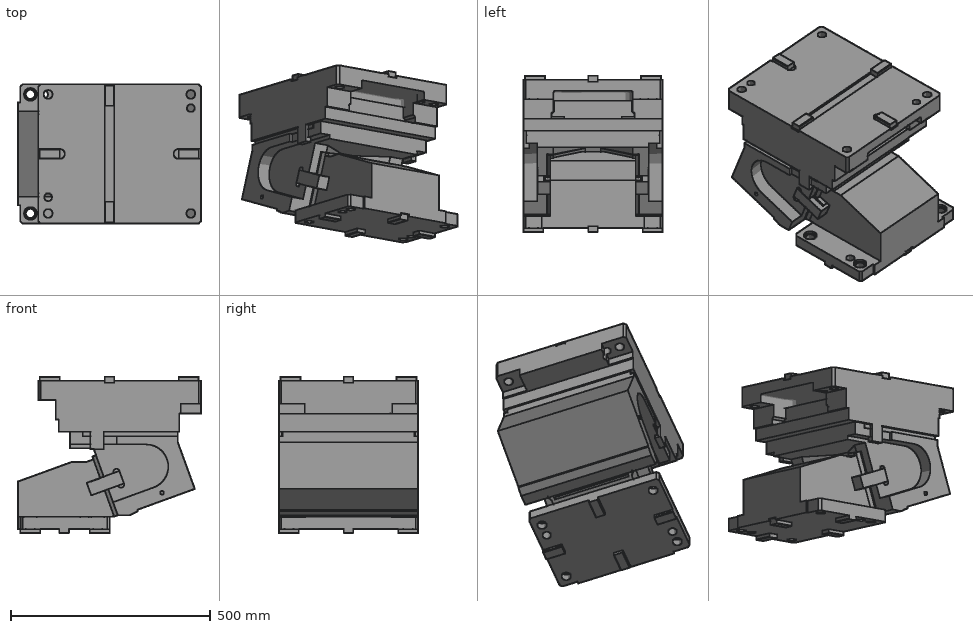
import cadquery as cq
import math


total_length = 460.0
total_height = 393.0
total_width = 350.0
half_width = total_width / 2
corner_chamfer = 6.0

key_height = 9.5
key_sink = 5.5
key_width = 25.0
key_length = 50.5
key_chamfer = 1.5
bolt_y = 149.5

tilt = math.radians(20)
joint_x = 196.0
joint_z = 195.5
joint_bottom = -160.5

base_foot_z = key_height
base_length = 231.0
flange_left = 5.5
flange_top = 40.5
flange_tongue_half = 129.3
hump_half = 107.5
hump_front_z = 129.5
hump_flat_z = 179.0
hump_top = -7.5
base_rib_x = 116.0
base_bolt_offset = 84.5
base_dowel_offset = 51.5
base_dowel_radius = 10.5
base_bolt_radius = 11.5
base_counterbore_radius = 16.0
base_counterbore_depth = 6.5
strip_thickness = 9.5
strip_half = 113.0
nose_bottom = -138.0
nose_length = 37.5
nose_tip_half = 30.5

bar_half = 139.5
bar_left = -45.5
bar_right = 42.0
bar_bottom = -90.5
bar_top = -57.0
slit_start = -36.0
slit_inner = 120.0
slit_outer = 123.7
slit_depth = 9.0
ledge_drop = 1.0

bracket_top = 254.5
bracket_left = 130.5
bracket_right = 402.0
cheek_half = 140.0
rail_half = 167.5
rail_bottom = 222.5
neck_bottom = 213.0
shoulder_z = 243.5
shoulder_x = 248.0
relief_x = 163.0
relief_depth = 2.0
bracket_knee_z = 227.5
bracket_corner_z = 111.0
bracket_step_x = 301.0
bracket_step = 4.0
bracket_heel_x = 280.5
bracket_base_z = 44.5
pocket_arc_x = 322.0
pocket_arc_radius = 55.5
bar_relief_radius = 8.0
bar_relief_x = 34.0
socket_mouth_half = 99.5
socket_end_half = 20.0
socket_length = 45.5
lead_in_half = 116.0
lead_in_depth = 3.5
pin_hole_x = 362.0
pin_hole_z = 101.0
pin_hole_radius = 4.5
pin_hole_depth = 9.0

head_top = total_height - key_height
head_left = 51.0
head_plate_bottom = 334.0
head_upper_left = 94.8
head_step_z = 284.7
head_lower_left = 102.0
head_right = 405.3
overhang_start = 409.0
overhang_plate_bottom = 324.8
overhang_bottom = 300.0
overhang_half = 110.5
clamp_left = 181.5
clamp_right = 215.7
clamp_bottom = 211.0
clamp_lip_half = 160.0
cross_key_x = 230.0
cross_key_half = 171.0
left_key_inset = 3.5
right_key_inset = 6.0
head_bolt_left = 76.0
head_bolt_right = 434.2
head_bolt_radius = 11.0
head_dowel_radius = 9.5
head_dowel_left_y = -109.0
head_dowel_right_y = 115.0
recess_top = 355.0
recess_half = 99.5
recess_chamfer_z = 303.5
recess_wide_half = 105.5
recess_wide_z = 297.5
recess_back = 152.0
recess_corner_radius = 20.5
recess_ceiling_radius = 5.5
block_front = 133.5
block_top = 330.5
block_gap = 2.0
block_foot_half = 72.0
block_foot_z = 290.0


def box(x, y, z):
    """Axis-aligned box from (low, high) pairs."""
    size = (x[1] - x[0], y[1] - y[0], z[1] - z[0])
    return cq.Workplane("XY").box(*size, centered=False).translate((x[0], y[0], z[0]))


def wide_box(x, half, z):
    """Box symmetric about Y = 0."""
    return box(x, (-half, half), z)


def both_sides(shape):
    """The shape together with its mirror image about Y = 0."""
    return shape.union(shape.mirror("XZ"))


def side_boxes(x, inner, outer, z):
    """Two mirrored boxes that lie between the half widths inner and outer."""
    return both_sides(box(x, (-outer, -inner), z))


def upright_plane(y=0.0):
    return cq.Workplane("XZ", origin=(0, y, 0))


def joint_plane(y=0.0):
    """Plane facing -Y: its x runs along the tilted axis, its y along the joint face."""
    direction = (math.cos(tilt), 0, math.sin(tilt))
    return cq.Workplane(cq.Plane(origin=(joint_x, y, joint_z), xDir=direction, normal=(0, -1, 0)))


def joint_top_plane():
    """Plane through the joint origin that is square to the joint face: x along the axis, y along Y."""
    direction = (math.cos(tilt), 0, math.sin(tilt))
    normal = (-math.sin(tilt), 0, math.cos(tilt))
    return cq.Workplane(cq.Plane(origin=(joint_x, 0, joint_z), xDir=direction, normal=normal))


def joint_point(u, v):
    """X and Z of a point given along and across the tilted axis."""
    x = joint_x + u * math.cos(tilt) - v * math.sin(tilt)
    z = joint_z + u * math.sin(tilt) + v * math.cos(tilt)
    return x, z


def joint_x_at(z):
    """X of the joint face at height z."""
    return joint_x + (joint_z - z) * math.tan(tilt)


def joint_prism(outline, bottom, top):
    """Prism square to the joint: outline of (along the axis, Y) points, from bottom to top across it."""
    return joint_top_plane().workplane(offset=bottom).polyline(outline).close().extrude(top - bottom)


def joint_wedge(root, tip, bottom, top):
    """Symmetric prism that tapers from its root to its tip, each an (along the axis, half width) pair."""
    outline = [(root[0], -root[1]), (tip[0], -tip[1]), tip, root]
    return joint_prism(outline, bottom, top)


def key_along_x(start, z, outer_side):
    """Lengthwise key, chamfered along the long edges of its outer side (">Z" or "<Z")."""
    key = wide_box((start, start + key_length), key_width / 2, z)
    return key.faces(outer_side).edges("|X").chamfer(key_chamfer)


def keys_along_y(x, outer_half, z, outer_side):
    """Two mirrored crosswise keys that end at outer_half, chamfered like the lengthwise ones."""
    key = box((x - key_width / 2, x + key_width / 2), (-outer_half, key_length - outer_half), z)
    return both_sides(key.faces(outer_side).edges("|Y").chamfer(key_chamfer))


def cylinder(x, y, radius, bottom, top):
    return cq.Workplane("XY", origin=(x, y, bottom)).circle(radius).extrude(top - bottom)




def base_hump():
    flat_end_u = (hump_flat_z - joint_z - hump_top * math.cos(tilt)) / math.sin(tilt)
    slope_run = (hump_flat_z - hump_front_z) / math.tan(tilt)
    outline = [
        (0, base_foot_z),
        (0, hump_front_z),
        (slope_run, hump_flat_z),
        joint_point(flat_end_u, hump_top),
        joint_point(-strip_thickness, hump_top),
        joint_point(-strip_thickness, joint_bottom),
        (base_length, flange_top),
        (base_length - corner_chamfer, base_foot_z),
    ]
    return upright_plane().polyline(outline).close().extrude(hump_half, both=True)


def base_flange():
    flange = wide_box((flange_left, base_length), half_width, (base_foot_z, flange_top))
    flange = flange.edges("|Z").chamfer(corner_chamfer)
    return flange.union(wide_box((0, base_length / 2), flange_tongue_half, (base_foot_z, flange_top)))


def base_nose():
    """Tapered nose that enters the bracket, with a raised rim along both slanted sides."""
    root = (-strip_thickness, hump_half)
    tip = (nose_length, nose_tip_half)
    nose = joint_wedge(root, tip, nose_bottom, hump_top)
    rim_outline = [root, tip, (socket_length, socket_end_half), (0, socket_mouth_half), (0, hump_half)]
    rim = joint_prism(rim_outline, nose_bottom, 0)
    return nose.union(both_sides(rim))


def base_strips():
    """Tapered strips along both sides of the joint face."""
    outline = [
        (-strip_thickness, hump_half),
        (0, strip_half),
        (0, socket_mouth_half),
        (-strip_thickness, socket_mouth_half),
    ]
    return both_sides(joint_prism(outline, joint_bottom, 0))


def locking_bars():
    """Bars that bridge the joint, each with an L-shaped slit around a slightly lower ledge."""
    bar = joint_prism(
        [(bar_left, -bar_half), (bar_right, -bar_half), (bar_right, -hump_half), (bar_left, -hump_half)],
        bar_bottom,
        bar_top,
    )
    slit = joint_prism(
        [
            (slit_start, -slit_outer),
            (0, -slit_outer),
            (0, -hump_half),
            (-strip_thickness, -hump_half),
            (-strip_thickness, -slit_inner),
            (slit_start, -slit_inner),
        ],
        bar_top - slit_depth,
        bar_top,
    )
    drop = joint_prism(
        [(slit_start, -slit_inner), (0, -slit_inner), (0, -hump_half), (slit_start, -hump_half)],
        bar_top - ledge_drop,
        bar_top,
    )
    return both_sides(bar.cut(slit).cut(drop))


def base_key_parts():
    """Keys under the base, with the slot that holds the left key and opens at the left end."""
    keys = keys_along_y(base_rib_x, half_width, (0, base_foot_z), "<Z")
    for start in (flange_left, base_length - key_length):
        keys = keys.union(key_along_x(start, (0, base_foot_z + key_sink), "<Z"))
    slot_length = flange_left + key_length
    slot = wide_box((0, slot_length), key_width / 2, (base_foot_z, base_foot_z + key_sink))
    return keys, slot


def base_holes():
    holes = cq.Workplane("XY")
    counterbore_floor = flange_top - base_counterbore_depth
    for side in (-1, 1):
        for end in (-1, 1):
            place = (base_rib_x + end * base_bolt_offset, side * bolt_y)
            holes = holes.union(cylinder(*place, base_bolt_radius, 0, flange_top))
            holes = holes.union(cylinder(*place, base_counterbore_radius, counterbore_floor, flange_top))
        dowel_x = base_rib_x - side * base_dowel_offset
        holes = holes.union(cylinder(dowel_x, side * bolt_y, base_dowel_radius, 0, flange_top))
    return holes


def make_base():
    keys, slot = base_key_parts()
    base = base_hump().union(base_flange())
    base = base.union(base_strips()).union(locking_bars()).union(base_nose())
    return base.cut(slot).union(keys).cut(base_holes())




def bracket_blank():
    """Full-width tilted block below the neck, and the narrower neck above it."""
    corner_x = bracket_right + (bracket_knee_z - bracket_corner_z) * math.tan(tilt)
    step_z = bracket_corner_z - (corner_x - bracket_step_x) * math.tan(tilt)
    outline = [
        (joint_x_at(rail_bottom), rail_bottom),
        (shoulder_x, rail_bottom),
        (shoulder_x, shoulder_z),
        (bracket_right, shoulder_z),
        (bracket_right, bracket_knee_z),
        (corner_x, bracket_corner_z),
        (bracket_step_x, step_z),
        (bracket_step_x, step_z - bracket_step),
        (bracket_heel_x, bracket_base_z),
        (joint_x_at(bracket_base_z), bracket_base_z),
    ]
    block = upright_plane().polyline(outline).close().extrude(half_width, both=True)
    rail = wide_box((bracket_left, bracket_right), rail_half, (rail_bottom, bracket_top))
    neck = wide_box((bracket_left, shoulder_x), cheek_half, (neck_bottom, rail_bottom))
    relief = side_boxes(
        (relief_x, bracket_right), rail_half - relief_depth, rail_half, (shoulder_z, bracket_top)
    )
    return block.union(rail.cut(relief)).union(neck)


def bracket_side_pockets():
    """Round-ended pockets in both sides, open towards the joint."""
    arc_z = rail_bottom - pocket_arc_radius
    start_angle = math.radians(90)
    end_angle = tilt - math.radians(90)
    mid_angle = (start_angle + end_angle) / 2
    end_x = pocket_arc_x + pocket_arc_radius * math.cos(end_angle)
    end_z = arc_z + pocket_arc_radius * math.sin(end_angle)
    mid = (
        pocket_arc_x + pocket_arc_radius * math.cos(mid_angle),
        arc_z + pocket_arc_radius * math.sin(mid_angle),
    )
    open_x = bracket_left
    pocket = (
        upright_plane(-cheek_half)
        .moveTo(open_x, rail_bottom)
        .lineTo(pocket_arc_x, rail_bottom)
        .threePointArc(mid, (end_x, end_z))
        .lineTo(open_x, end_z - (end_x - open_x) * math.tan(tilt))
        .close()
        .extrude(half_width - cheek_half)
    )
    return both_sides(pocket)


def bar_slots():
    """Slots that take the locking bars, with round corner reliefs."""
    depth = cheek_half - hump_half
    slot = joint_prism(
        [(0, -cheek_half), (bar_right, -cheek_half), (bar_right, -hump_half), (0, -hump_half)],
        bar_bottom,
        bar_top,
    )
    for v in (bar_bottom, bar_top):
        relief = joint_plane(-hump_half).center(bar_relief_x, v).circle(bar_relief_radius)
        slot = slot.union(relief.extrude(depth))
    return both_sides(slot)


def bracket_socket():
    """Tapered socket around the nose of the base, open up to the underside of the neck."""
    root = (0, socket_mouth_half)
    tip = (socket_length, socket_end_half)
    wedge = joint_wedge(root, tip, nose_bottom, bracket_top - joint_z)
    return wedge.intersect(wide_box((0, total_length), half_width, (0, neck_bottom)))


def lead_in_chamfers():
    """Small chamfers in the joint face beside the strips of the base."""
    outline = [(0, strip_half), (0, lead_in_half), (lead_in_depth, strip_half)]
    return both_sides(joint_prism(outline, joint_bottom, 0))


def pin_holes():
    hole = upright_plane(-half_width).center(pin_hole_x, pin_hole_z).circle(pin_hole_radius)
    return both_sides(hole.extrude(-pin_hole_depth))


def make_bracket():
    bracket = bracket_blank().cut(bracket_side_pockets()).cut(bar_slots())
    return bracket.cut(bracket_socket()).cut(lead_in_chamfers()).cut(pin_holes())




def head_blank():
    plate = wide_box((head_left, total_length), half_width, (overhang_plate_bottom, head_top))
    plate = plate.edges("|Z").chamfer(corner_chamfer)
    plate = plate.cut(
        wide_box((0, head_upper_left), half_width, (overhang_plate_bottom, head_plate_bottom))
    )
    outline = [
        (head_upper_left, head_top),
        (head_upper_left, head_step_z),
        (head_lower_left, head_step_z),
        (head_lower_left, bracket_top),
        (head_right, bracket_top),
        (head_right, overhang_bottom),
        (overhang_start, overhang_bottom),
        (overhang_start, head_top),
    ]
    body = upright_plane().polyline(outline).close().extrude(half_width, both=True)
    overhang = wide_box((head_right, total_length), overhang_half, (overhang_bottom, head_top))
    return plate.union(body).union(overhang)


def head_clamps():
    """Hooked clamps that reach around the rails of the bracket."""
    arm = side_boxes((clamp_left, clamp_right), rail_half, half_width, (clamp_bottom, bracket_top))
    lip = side_boxes((clamp_left, clamp_right), clamp_lip_half, half_width, (clamp_bottom, rail_bottom))
    return arm.union(lip)


def head_key_slots():
    """Cross groove over the full width, and round-ended slots in from both ends."""
    floor = head_top - key_sink
    groove_x = (cross_key_x - key_width / 2, cross_key_x + key_width / 2)
    slots = wide_box(groove_x, half_width, (floor, head_top))
    radius = key_width / 2
    left_end = head_left + left_key_inset + key_length
    right_end = total_length - right_key_inset - key_length
    slots = slots.union(wide_box((head_left, left_end), radius, (floor, head_top)))
    slots = slots.union(wide_box((right_end, total_length), radius, (floor, head_top)))
    for x in (left_end, right_end):
        slots = slots.union(cylinder(x, 0, radius, floor, head_top))
    return slots


def head_keys():
    floor = head_top - key_sink
    keys = keys_along_y(cross_key_x, cross_key_half, (floor, total_height), ">Z")
    left_start = head_left + left_key_inset
    right_start = total_length - right_key_inset - key_length
    for start in (left_start, right_start):
        keys = keys.union(key_along_x(start, (floor, total_height), ">Z"))
    return keys


def head_holes():
    holes = cq.Workplane("XY")
    for x in (head_bolt_left, head_bolt_right):
        for y in (-bolt_y, bolt_y):
            holes = holes.union(cylinder(x, y, head_bolt_radius, overhang_bottom, head_top))
    for x, y in ((head_bolt_left, head_dowel_left_y), (head_bolt_right, head_dowel_right_y)):
        holes = holes.union(cylinder(x, y, head_dowel_radius, overhang_bottom, head_top))
    return holes


def recess_block():
    """Block left standing at the back of the recess, with a gap around its sides."""
    outline = [
        (block_foot_half, head_step_z),
        (block_foot_half, block_foot_z),
        (recess_wide_half - block_gap, block_foot_z),
        (recess_wide_half - block_gap, recess_wide_z),
        (recess_half - block_gap, recess_chamfer_z),
        (recess_half - block_gap, block_top),
    ]
    mirrored = [(-y, z) for y, z in reversed(outline)]
    plane = cq.Workplane("YZ", origin=(block_front, 0, 0))
    return plane.polyline(outline + mirrored).close().extrude(recess_back - block_front)


def head_recess():
    """Recess in the left end, wider at its foot and rounded at the back."""
    upper = wide_box((head_left, recess_back), recess_half, (block_top, recess_top))
    upper = upper.edges("|Z and >X").fillet(recess_corner_radius)
    upper = upper.faces(">Z").edges(">X").fillet(recess_ceiling_radius)
    outline = [
        (recess_wide_half, head_step_z),
        (recess_wide_half, recess_wide_z),
        (recess_half, recess_chamfer_z),
        (recess_half, block_top),
    ]
    mirrored = [(-y, z) for y, z in reversed(outline)]
    plane = cq.Workplane("YZ", origin=(head_left, 0, 0))
    lower = plane.polyline(outline + mirrored).close().extrude(recess_back - head_left)
    return upper.union(lower.cut(recess_block()))


def make_head():
    head = head_blank().cut(head_recess()).union(head_clamps())
    return head.cut(head_key_slots()).union(head_keys()).cut(head_holes())


base = make_base()
bracket = make_bracket()
head = make_head()

result = cq.Compound.makeCompound([*base.solids().vals(), *bracket.solids().vals(), *head.solids().vals()])